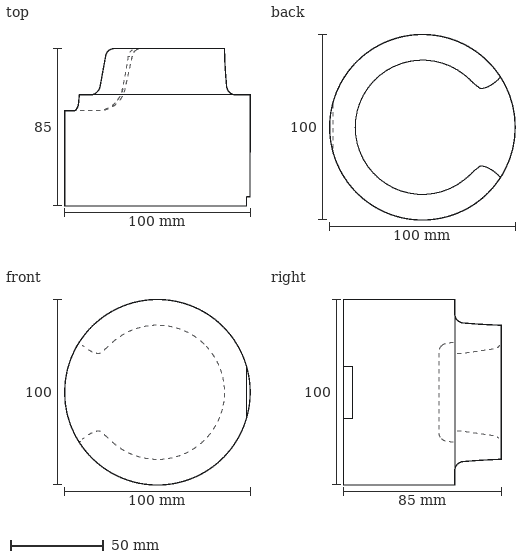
import cadquery as cq
import math

BODY_RADIUS = 50.0
BODY_LENGTH = 60.0

FLAT_DISTANCE = 48.0
FLAT_LENGTH = 5.0

BOSS_HEIGHT = 25.0
BOSS_TIP_RADIUS = 36.15
BOSS_DRAFT = math.radians(3.4)
BOSS_FILLET = 4.75
TIP_Y = BODY_LENGTH + BOSS_HEIGHT

POCKET_DEPTH = 33.6
POCKET_FLOOR_Y = TIP_Y - POCKET_DEPTH
POCKET_DRAFT = math.radians(10.0)
POCKET_FLOOR_HALF_WIDTH = 18.0
POCKET_FILLET = 5.0
POCKET_LIP_FILLET = 5.2

FLARE_START_X = -25.5
FLARE_RADIUS = 23.5
FLARE_ANGLE = math.radians(55.0)

BACK_WALL_RADIUS = 70.0
BACK_WALL_TIP_X = -15.0
BACK_WALL_FILLET = 14.2

CUTTER_INNER_X = 20.0
CUTTER_OUTER_X = -60.0
SLAB_HEIGHT = 10.0
SLAB_WIDTH = 160.0


def make_body():
    """Cylinder with the short flat cut into its front end."""
    front_plane = cq.Plane(origin=(0, 0, 0), xDir=(-1, 0, 0), normal=(0, 1, 0))
    body = cq.Workplane(front_plane).circle(BODY_RADIUS).extrude(BODY_LENGTH)
    flat_cutter = (
        cq.Workplane("XY")
        .box(BODY_RADIUS, FLAT_LENGTH, 2 * BODY_RADIUS, centered=(False, False, True))
        .translate((FLAT_DISTANCE, 0, 0))
    )
    return body.cut(flat_cutter)


def make_filleted_cone(tip_radius, draft, base_y, fillet_radius):
    """Cone about the Y axis from base_y to the tip plane, with a concave fillet around its foot."""
    foot_radius = tip_radius + (TIP_Y - base_y) * math.tan(draft)
    tangent_length = fillet_radius * math.tan((math.pi / 2 - draft) / 2)
    side_radius = foot_radius - tangent_length * math.sin(draft)
    side_y = base_y + tangent_length * math.cos(draft)
    outer_radius = foot_radius + tangent_length
    mid_angle = (draft + math.pi / 2) / 2
    mid_radius = outer_radius - fillet_radius * math.cos(mid_angle)
    mid_y = base_y + fillet_radius * (1 - math.sin(mid_angle))
    return (
        cq.Workplane("XY")
        .moveTo(0, base_y)
        .lineTo(outer_radius, base_y)
        .threePointArc((mid_radius, mid_y), (side_radius, side_y))
        .lineTo(tip_radius, TIP_Y)
        .lineTo(0, TIP_Y)
        .close()
        .revolve(360, (0, 0, 0), (0, 1, 0))
    )


def wall_growth(y):
    """Distance by which the draft has moved each side wall outwards at height y."""
    return (y - POCKET_FLOOR_Y) * math.tan(POCKET_DRAFT)


def flare_point(y, angle):
    """Point (x, z) of the flare at height y, after turning by angle from the straight wall."""
    radius = FLARE_RADIUS - wall_growth(y)
    x = FLARE_START_X - radius * math.sin(angle)
    z = POCKET_FLOOR_HALF_WIDTH + wall_growth(y) + radius * (1 - math.cos(angle))
    return x, z


def draw_pocket_outline(plane, y):
    """Draw the flared pocket outline for height y on an XZ workplane."""
    half_width = POCKET_FLOOR_HALF_WIDTH + wall_growth(y)
    mid_x, mid_z = flare_point(y, FLARE_ANGLE / 2)
    end_x, end_z = flare_point(y, FLARE_ANGLE)
    outer_z = end_z + (end_x - CUTTER_OUTER_X) * math.tan(FLARE_ANGLE)
    return (
        plane.moveTo(CUTTER_INNER_X, half_width)
        .lineTo(FLARE_START_X, half_width)
        .threePointArc((mid_x, mid_z), (end_x, end_z))
        .lineTo(CUTTER_OUTER_X, outer_z)
        .lineTo(CUTTER_OUTER_X, -outer_z)
        .lineTo(end_x, -end_z)
        .threePointArc((mid_x, -mid_z), (FLARE_START_X, -half_width))
        .lineTo(CUTTER_INNER_X, -half_width)
        .close()
    )


def make_pocket_walls():
    """Space between the drafted side walls, still without a back wall."""
    floor_plane = cq.Workplane("XZ", origin=(0, POCKET_FLOOR_Y, 0))
    floor_outline = draw_pocket_outline(floor_plane, POCKET_FLOOR_Y)
    tip_plane = floor_outline.workplane(offset=-POCKET_DEPTH)
    return draw_pocket_outline(tip_plane, TIP_Y).loft(ruled=True)


def make_back_wall():
    """Solid behind the pocket, whose foot curves into the pocket floor."""
    cone = make_filleted_cone(BACK_WALL_RADIUS, POCKET_DRAFT, POCKET_FLOOR_Y, BACK_WALL_FILLET)
    return cone.translate((BACK_WALL_TIP_X + BACK_WALL_RADIUS, 0, 0))


def make_pocket_cutter():
    """Pocket volume with rounded floor edges and corners and a rounded lip at the tip plane."""
    pocket = make_pocket_walls().cut(make_back_wall())
    flare_x, flare_z = flare_point(POCKET_FLOOR_Y, FLARE_ANGLE / 2)
    upper_edge = cq.selectors.NearestToPointSelector((flare_x, POCKET_FLOOR_Y, flare_z))
    lower_edge = cq.selectors.NearestToPointSelector((flare_x, POCKET_FLOOR_Y, -flare_z))
    pocket = pocket.edges(upper_edge + lower_edge).fillet(POCKET_FILLET)
    slab = (
        cq.Workplane("XY")
        .box(CUTTER_INNER_X - CUTTER_OUTER_X, SLAB_HEIGHT, SLAB_WIDTH, centered=(False, False, True))
        .translate((CUTTER_OUTER_X, TIP_Y, 0))
    )
    lip_point = (FLARE_START_X, TIP_Y, POCKET_FLOOR_HALF_WIDTH + wall_growth(TIP_Y))
    lip_edge = cq.selectors.NearestToPointSelector(lip_point)
    return pocket.union(slab).edges(lip_edge).fillet(POCKET_LIP_FILLET)


boss = make_filleted_cone(BOSS_TIP_RADIUS, BOSS_DRAFT, BODY_LENGTH, BOSS_FILLET)
result = make_body().union(boss).cut(make_pocket_cutter())